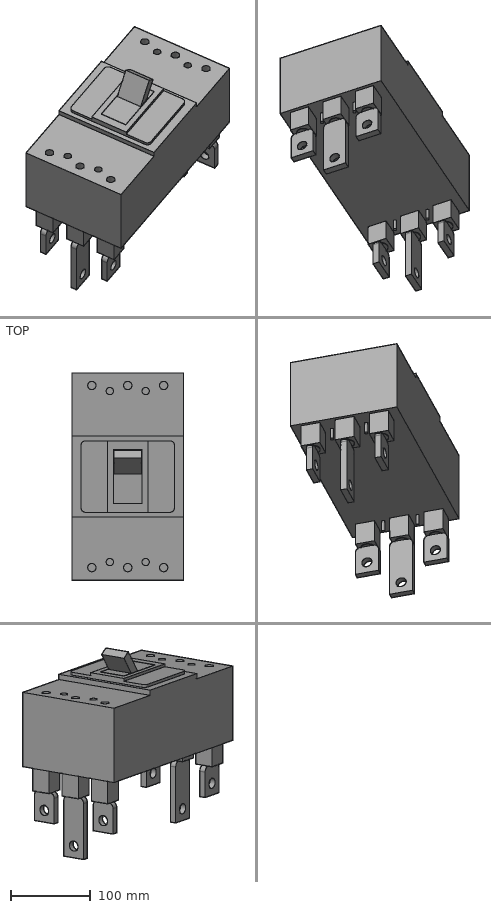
import cadquery as cq
import math

CASE_WIDTH = 140.0
CASE_LENGTH = 260.0
SHOULDER_HEIGHT = 96.2
STEP_LENGTH = 102.0
STEP_HEIGHT = 6.8

PLATE_WIDTH = 117.0
PLATE_LENGTH = 89.7
PLATE_HEIGHT = 3.6
PLATE_CORNER_RADIUS = 5.7
BEZEL_WIDTH = 50.7
BEZEL_HEIGHT = 3.6
WINDOW_WIDTH = 36.0
WINDOW_LENGTH = 68.0
WINDOW_DEPTH = 0.4

TOGGLE_WIDTH = 34.3
TOGGLE_THICKNESS = 11.5
TOGGLE_LEAN = math.radians(35)
TOGGLE_RISE = 28.9
TOGGLE_TIP_Y = 23.5

POLE_PITCH = 45.0
POLE_ROW_Y = 114.1
ACCESS_HOLE_DIAMETER = 10.5
ACCESS_HOLE_DEPTH = 26.0

BLOCK_WIDTH = 25.0
BLOCK_LENGTH = 24.0
BLOCK_HEIGHT = 30.5
COLLAR_DIAMETER = 17.5
COLLAR_HEIGHT = 0.8
BLADE_WIDTH = 30.5
BLADE_THICKNESS = 8.3
BLADE_CORNER_RADIUS = 6.5
OUTER_BLADE_BOTTOM = -70.7
MIDDLE_BLADE_BOTTOM = -110.2
BLADE_HOLE_DIAMETER = 13.0
BLADE_HOLE_TO_END = 15.3

SCREW_ROW_Y = 107.0
SCREW_HEAD_DIAMETER = 9.0
SCREW_HEAD_HEIGHT = 5.2
SCREW_HEAD_RECESS = 26.0
SCREW_SHANK_DIAMETER = 4.2
SCREW_PROJECTION = 14.8

STEP_TOP = SHOULDER_HEIGHT + STEP_HEIGHT
PLATE_TOP = STEP_TOP + PLATE_HEIGHT
BEZEL_TOP = PLATE_TOP + BEZEL_HEIGHT
WINDOW_FLOOR = BEZEL_TOP - WINDOW_DEPTH
BLOCK_BOTTOM = -BLOCK_HEIGHT
BLADE_TOP = BLOCK_BOTTOM - COLLAR_HEIGHT
SCREW_HEAD_TOP = SHOULDER_HEIGHT - SCREW_HEAD_RECESS
SCREW_HEAD_BOTTOM = SCREW_HEAD_TOP - SCREW_HEAD_HEIGHT

POLE_COLUMNS = (-POLE_PITCH, 0, POLE_PITCH)
POLE_POINTS = [(x, y) for y in (-POLE_ROW_Y, POLE_ROW_Y) for x in POLE_COLUMNS]
SCREW_POINTS = [(x, y) for y in (-SCREW_ROW_Y, SCREW_ROW_Y) for x in (-POLE_PITCH / 2, POLE_PITCH / 2)]


def block(width, length, bottom, top):
    """Box centred on X and Y between two Z levels."""
    return cq.Workplane("XY").workplane(offset=bottom).rect(width, length).extrude(top - bottom)


def cylinder(diameter, bottom, top):
    """Upright cylinder on the Z axis between two Z levels."""
    return cq.Workplane("XY").workplane(offset=bottom).circle(diameter / 2).extrude(top - bottom)


def make_case():
    """Main block with the raised step, cover plate and windowed bezel."""
    case = block(CASE_WIDTH, CASE_LENGTH, 0, SHOULDER_HEIGHT)
    step = block(CASE_WIDTH, STEP_LENGTH, SHOULDER_HEIGHT, STEP_TOP)
    plate = block(PLATE_WIDTH, PLATE_LENGTH, STEP_TOP, PLATE_TOP).edges("|Z").fillet(PLATE_CORNER_RADIUS)
    bezel = block(BEZEL_WIDTH, PLATE_LENGTH, PLATE_TOP, BEZEL_TOP)
    window = block(WINDOW_WIDTH, WINDOW_LENGTH, WINDOW_FLOOR, BEZEL_TOP)
    return case.union(step).union(plate).union(bezel).cut(window)


def make_toggle():
    """Leaning lever standing on the window floor."""
    tip_z = BEZEL_TOP + TOGGLE_RISE
    back_y = TOGGLE_TIP_Y + TOGGLE_THICKNESS * math.cos(TOGGLE_LEAN)
    back_z = tip_z - TOGGLE_THICKNESS * math.sin(TOGGLE_LEAN)
    slope = math.tan(TOGGLE_LEAN)
    profile = [
        (TOGGLE_TIP_Y, tip_z),
        (back_y, back_z),
        (back_y - (back_z - WINDOW_FLOOR) * slope, WINDOW_FLOOR),
        (TOGGLE_TIP_Y - (tip_z - WINDOW_FLOOR) * slope, WINDOW_FLOOR),
    ]
    return cq.Workplane("YZ").polyline(profile).close().extrude(TOGGLE_WIDTH / 2, both=True)


def make_terminal(blade_bottom, blade_along_y):
    """Terminal block, collar and drilled blade, centred on the Z axis."""
    blade = (
        block(BLADE_WIDTH, BLADE_THICKNESS, blade_bottom, BLADE_TOP)
        .edges("|Y and >Z")
        .fillet(BLADE_CORNER_RADIUS)
    )
    hole = (
        cq.Workplane("XZ")
        .workplane(offset=-BLADE_THICKNESS / 2)
        .center(0, blade_bottom + BLADE_HOLE_TO_END)
        .circle(BLADE_HOLE_DIAMETER / 2)
        .extrude(BLADE_THICKNESS)
    )
    blade = blade.cut(hole)
    if blade_along_y:
        blade = blade.rotate((0, 0, 0), (0, 0, 1), 90)
    collar = cylinder(COLLAR_DIAMETER, BLADE_TOP, BLOCK_BOTTOM)
    return block(BLOCK_WIDTH, BLOCK_LENGTH, BLOCK_BOTTOM, 0).union(collar).union(blade)


def make_screw():
    """Mounting screw on the Z axis: cylindrical head and plain shank."""
    head = cylinder(SCREW_HEAD_DIAMETER, SCREW_HEAD_BOTTOM, SCREW_HEAD_TOP)
    shank = cylinder(SCREW_SHANK_DIAMETER, -SCREW_PROJECTION, SCREW_HEAD_BOTTOM)
    return head.union(shank)


def make_screw_bore():
    """Counterbored passage that fits the screw and opens at the shoulder."""
    counterbore = cylinder(SCREW_HEAD_DIAMETER, SCREW_HEAD_BOTTOM, SHOULDER_HEIGHT)
    return counterbore.union(cylinder(SCREW_SHANK_DIAMETER, 0, SCREW_HEAD_BOTTOM))


def make_breaker():
    """Breaker body: case, toggle and six terminals in one solid."""
    breaker = make_case().union(make_toggle())
    access_hole = cylinder(ACCESS_HOLE_DIAMETER, SHOULDER_HEIGHT - ACCESS_HOLE_DEPTH, SHOULDER_HEIGHT)
    for x, y in POLE_POINTS:
        blade_bottom = MIDDLE_BLADE_BOTTOM if x == 0 else OUTER_BLADE_BOTTOM
        terminal = make_terminal(blade_bottom, blade_along_y=y < 0)
        breaker = breaker.union(terminal.translate((x, y, 0)))
        breaker = breaker.cut(access_hole.translate((x, y, 0)))
    screw_bore = make_screw_bore()
    for x, y in SCREW_POINTS:
        breaker = breaker.cut(screw_bore.translate((x, y, 0)))
    return breaker


breaker = make_breaker()
screw = make_screw()
screws = [screw.translate((x, y, 0)) for x, y in SCREW_POINTS]

result = cq.Compound.makeCompound([breaker.val(), *[copy.val() for copy in screws]])